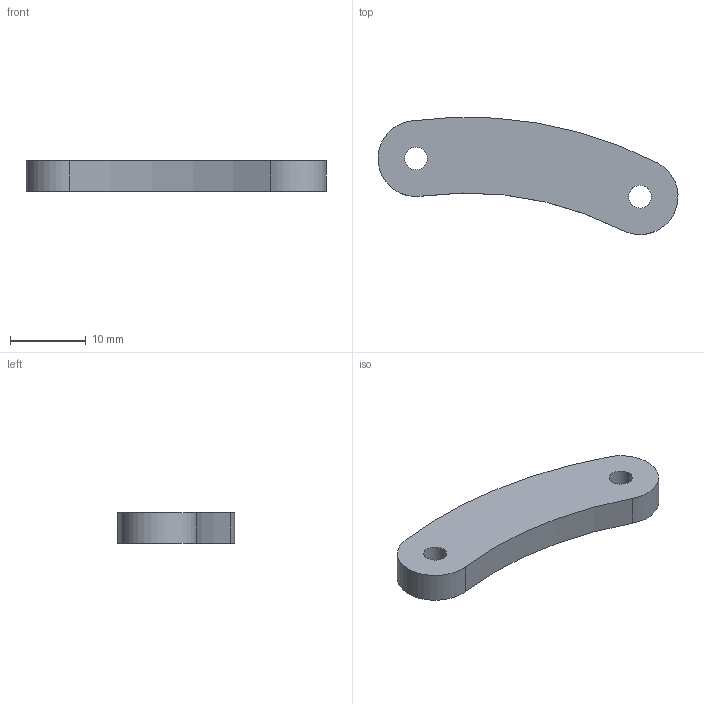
import cadquery as cq
import math

thickness = 4.0
link_width = 10.0
hole_diameter = 3.0
hole_spacing = 30.0
centreline_radius = 50.0
chord_tilt = 9.65

half_sweep = math.degrees(math.asin(hole_spacing / 2 / centreline_radius))
middle_angle = 90 - chord_tilt
left_angle = middle_angle + half_sweep
right_angle = middle_angle - half_sweep

outer_radius = centreline_radius + link_width / 2
inner_radius = centreline_radius - link_width / 2


def polar(radius, angle):
    """Point at a radius and angle about the bend centre."""
    return (radius * math.cos(math.radians(angle)), radius * math.sin(math.radians(angle)))


def end_tip(hole_angle, direction):
    """Outermost point of a rounded end; direction is +1 for left, -1 for right."""
    x, y = polar(centreline_radius, hole_angle)
    tip_x, tip_y = polar(link_width / 2, hole_angle + direction * 90)
    return (x + tip_x, y + tip_y)


def curved_bar():
    """Constant-width arc with a tangent rounded end around each hole."""
    return (
        cq.Workplane("XY")
        .moveTo(*polar(outer_radius, left_angle))
        .threePointArc(polar(outer_radius, middle_angle), polar(outer_radius, right_angle))
        .threePointArc(end_tip(right_angle, -1), polar(inner_radius, right_angle))
        .threePointArc(polar(inner_radius, middle_angle), polar(inner_radius, left_angle))
        .threePointArc(end_tip(left_angle, 1), polar(outer_radius, left_angle))
        .close()
        .extrude(thickness)
    )


def pin_holes():
    """Cylinders that cut the through hole at each end."""
    centres = [polar(centreline_radius, angle) for angle in (left_angle, right_angle)]
    return cq.Workplane("XY").pushPoints(centres).circle(hole_diameter / 2).extrude(thickness)


left_x, left_y = polar(centreline_radius, left_angle)
result = curved_bar().cut(pin_holes()).translate((-left_x, -left_y, 0))